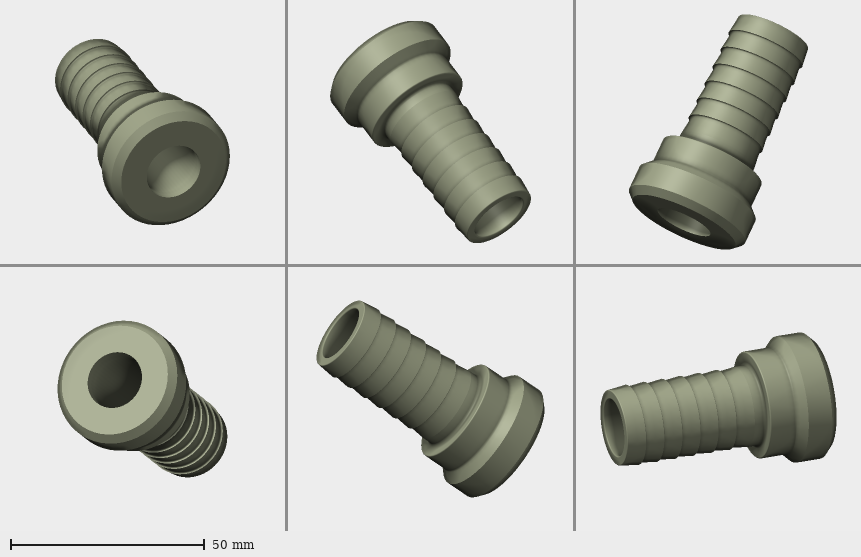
import cadquery as cq
import math

length = 56.0
head_radius = 33.1 / 2
bore_radius = 15.0 / 2
bore_mouth_round = 0.35

barb_count = 7
barbed_length = 35.0
barb_pitch = barbed_length / barb_count
crest_radius = 21.0 / 2
barb_rise = 0.55
root_radius = crest_radius - barb_rise
root_fillet = 0.35
tip_round = 0.3

shoulder_x = 38.0
neck_fillet = 0.8
collar_radius = 28.0 / 2
collar_round = 0.35

cone_end_x = 47.6
cone_fillet = 0.8
rear_chamfer = 1.9

cone_start_x = cone_end_x - (head_radius - collar_radius)
cone_fillet_setback = cone_fillet * math.tan(math.radians(45 / 2))
diagonal = math.sin(math.radians(45))


def add_root_fillet(profile, crest_x):
    """Drop from a crest and round into the root of the next barb."""
    return profile.lineTo(crest_x, root_radius + root_fillet).radiusArc(
        (crest_x + root_fillet, root_radius), -root_fillet
    )


profile = cq.Workplane("XY").lineTo(0, root_radius - tip_round)
profile = profile.radiusArc((tip_round, root_radius), tip_round)
profile = profile.lineTo(barb_pitch, crest_radius)
for barb in range(1, barb_count):
    crest_x = barb * barb_pitch
    profile = add_root_fillet(profile, crest_x)
    profile = profile.lineTo(crest_x + barb_pitch, crest_radius)

profile = (
    profile.lineTo(shoulder_x - neck_fillet, crest_radius)
    .radiusArc((shoulder_x, crest_radius + neck_fillet), -neck_fillet)
    .lineTo(shoulder_x, collar_radius - collar_round)
    .radiusArc((shoulder_x + collar_round, collar_radius), collar_round)
    .lineTo(cone_start_x - cone_fillet_setback, collar_radius)
)

cone_fillet_end = (
    cone_start_x + cone_fillet_setback * diagonal,
    collar_radius + cone_fillet_setback * diagonal,
)
profile = (
    profile.radiusArc(cone_fillet_end, -cone_fillet)
    .lineTo(cone_end_x, head_radius)
    .lineTo(length - rear_chamfer, head_radius)
    .lineTo(length, head_radius - rear_chamfer)
    .lineTo(length, 0)
    .close()
)
body = profile.revolve(360, (0, 0, 0), (1, 0, 0))

bore = cq.Workplane("YZ").circle(bore_radius).extrude(length)
result = body.cut(bore)
mouth_edge = cq.selectors.RadiusNthSelector(0)
result = result.faces("<X").edges(mouth_edge).fillet(bore_mouth_round)